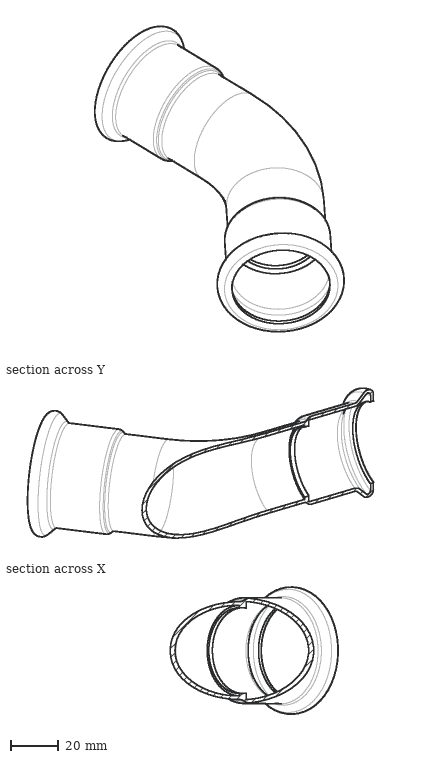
import cadquery as cq
import math


overall_length = 152.7
bend_angle = 45.0
wall = 1.7
tube_radius = 41.7 / 2
socket_radius = 45.0 / 2
rim_radius = 54.0 / 2
bead_radius = 2.9
blend_radius = 2.0
step_start = 31.0
bend_start = 53.0
stop_start = 32.0
stop_length = 2.1
stop_bore_radius = 18.2

tube_bore_radius = tube_radius - wall
socket_bore_radius = socket_radius - wall
bead_center_radius = rim_radius - bead_radius
half_root = math.sqrt(0.5)
sin_bend = math.sin(math.radians(bend_angle))
cos_bend = math.cos(math.radians(bend_angle))

straight_reach = bend_start + (bend_start - bead_radius) * cos_bend
bead_reach = bead_center_radius * sin_bend + bead_radius
bend_radius = (overall_length - straight_reach - bead_reach) / sin_bend

socket_blend_center_radius = socket_radius + blend_radius
flank_offset = (bead_radius + blend_radius) / half_root
socket_start = bead_radius + flank_offset - (socket_blend_center_radius - bead_center_radius)

step_end_center_radius = tube_radius + blend_radius
step_start_center_radius = socket_radius - blend_radius
step_end = step_start + 2 * blend_radius / half_root - (step_end_center_radius - step_start_center_radius)


def arc_point(center, radius, degrees):
    """Point on a profile arc; profile coordinates are (axial, radial)."""
    angle = math.radians(degrees)
    return center[0] + radius * math.cos(angle), center[1] + radius * math.sin(angle)


def end_profile(offset):
    """Profile of a straight end, from the axis at the face, moved inwards by offset."""
    bead_center = (bead_radius, bead_center_radius)
    socket_center = (socket_start, socket_blend_center_radius)
    narrow_center = (step_start, step_start_center_radius)
    tube_center = (step_end, step_end_center_radius)
    convex = blend_radius - offset
    concave = blend_radius + offset
    bead = bead_radius - offset
    return (
        cq.Workplane("XY")
        .moveTo(offset, 0)
        .lineTo(offset, bead_center_radius)
        .threePointArc(arc_point(bead_center, bead, 112.5), arc_point(bead_center, bead, 45))
        .lineTo(*arc_point(socket_center, concave, 225))
        .threePointArc(arc_point(socket_center, concave, 247.5), arc_point(socket_center, concave, 270))
        .lineTo(step_start, socket_radius - offset)
        .threePointArc(arc_point(narrow_center, convex, 67.5), arc_point(narrow_center, convex, 45))
        .lineTo(*arc_point(tube_center, concave, 225))
        .threePointArc(arc_point(tube_center, concave, 247.5), arc_point(tube_center, concave, 270))
        .lineTo(bend_start, tube_radius - offset)
        .lineTo(bend_start, 0)
        .close()
    )


def revolve_about_x(profile):
    return profile.revolve(360, (0, 0, 0), (1, 0, 0))


def cylinder(start, length, radius):
    return cq.Workplane("YZ", origin=(start, 0, 0)).circle(radius).extrude(length)


def straight_end():
    outside = revolve_about_x(end_profile(0))
    inside = revolve_about_x(end_profile(wall))
    socket_bore = cylinder(0, stop_start, socket_bore_radius)
    stop = cylinder(stop_start, stop_length, socket_radius).intersect(outside)
    stop_bore = cylinder(stop_start, stop_length, stop_bore_radius)
    return outside.cut(inside).cut(socket_bore).union(stop.cut(stop_bore))


def bend():
    return (
        cq.Workplane("YZ", origin=(bend_start, 0, 0))
        .circle(tube_radius)
        .circle(tube_bore_radius)
        .revolve(bend_angle, (-bend_radius, 1.5, 0), (-bend_radius, 0, 0))
    )


def angled_end(inlet):
    """Mirror image of the inlet in the plane that halves the bend."""
    return (
        inlet.mirror("YZ", (bend_start, 0, 0))
        .rotate((bend_start, -bend_radius, 0), (bend_start, -bend_radius, 1), -bend_angle)
    )


inlet_end = straight_end()
result = inlet_end.union(bend()).union(angled_end(inlet_end))